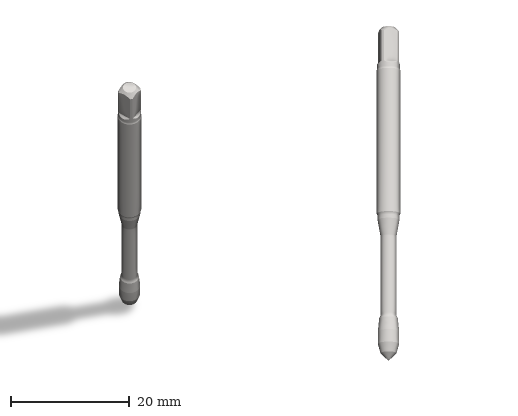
import cadquery as cq
import math

overall_length = 57.35

drive_width = 3.0
drive_length = 6.0
drive_top_diameter = 2.2
drive_chamfer_angle = 45.0
drive_runout_angle = 45.0

collar_diameter = 3.8
collar_bottom_depth = 7.0
shank_diameter = 4.0
shank_fillet_radius = 0.75
shank_bottom_z = 25.35
land_diameter = 3.7
land_bottom_z = 24.25

neck_diameter = 2.7
neck_taper_angle = 10.0
neck_taper_fillet_radius = 1.0
neck_end_diameter = 3.15
neck_end_fillet_radius = 1.2

head_diameter = 3.61
tip_diameter = neck_diameter
tip_height = tip_diameter / 2
lead_length = 1.6
head_land_length = 2.15

head_length = 6.0
head_top_z = tip_height + head_length


def tan_deg(angle):
    return math.tan(math.radians(angle))


def fillet_height(radius, rise):
    """Axial length of a fillet that leaves a cylinder tangentially and climbs by `rise`."""
    return math.sqrt(radius**2 - (radius - rise) ** 2)


def fillet_middle(start_radius, start_z, radius, height):
    """Middle point of a fillet starting tangent to a cylinder; `height` is signed along Z."""
    half_turn = math.asin(height / radius) / 2
    return (
        start_radius + radius * (1 - math.cos(half_turn)),
        start_z + radius * math.sin(half_turn),
    )


def turned(profile):
    """Solid of revolution about Z from a closed half profile."""
    return profile.close().revolve(360, (0, 0, 0), (0, 1, 0))


def turned_shank():
    """Drive blank, collar, shank, land and neck before the square is cut."""
    drive_top_r = drive_top_diameter / 2
    collar_r = collar_diameter / 2
    shank_r = shank_diameter / 2
    land_r = land_diameter / 2
    neck_r = neck_diameter / 2
    neck_end_r = neck_end_diameter / 2

    chamfer_bottom = overall_length - (collar_r - drive_top_r) * tan_deg(drive_chamfer_angle)
    collar_bottom = overall_length - collar_bottom_depth
    collar_fillet = -fillet_height(shank_fillet_radius, shank_r - collar_r)
    land_fillet = fillet_height(shank_fillet_radius, shank_r - land_r)
    land_top = shank_bottom_z - land_fillet

    taper_rad = math.radians(neck_taper_angle)
    taper_meets_neck = land_bottom_z - (land_r - neck_r) / math.tan(taper_rad)
    neck_top = taper_meets_neck - neck_taper_fillet_radius * math.tan(taper_rad / 2)
    taper_fillet = neck_taper_fillet_radius * math.sin(taper_rad)
    taper_bottom_r = neck_r + neck_taper_fillet_radius * (1 - math.cos(taper_rad))

    neck_end_fillet = -fillet_height(neck_end_fillet_radius, neck_end_r - neck_r)
    neck_bottom = head_top_z - neck_end_fillet

    return turned(
        cq.Workplane("XZ")
        .moveTo(0, overall_length)
        .lineTo(drive_top_r, overall_length)
        .lineTo(collar_r, chamfer_bottom)
        .lineTo(collar_r, collar_bottom)
        .threePointArc(
            fillet_middle(collar_r, collar_bottom, shank_fillet_radius, collar_fillet),
            (shank_r, collar_bottom + collar_fillet),
        )
        .lineTo(shank_r, shank_bottom_z)
        .threePointArc(
            fillet_middle(land_r, land_top, shank_fillet_radius, land_fillet),
            (land_r, land_top),
        )
        .lineTo(land_r, land_bottom_z)
        .lineTo(taper_bottom_r, neck_top + taper_fillet)
        .threePointArc(
            fillet_middle(neck_r, neck_top, neck_taper_fillet_radius, taper_fillet),
            (neck_r, neck_top),
        )
        .lineTo(neck_r, neck_bottom)
        .threePointArc(
            fillet_middle(neck_r, neck_bottom, neck_end_fillet_radius, neck_end_fillet),
            (neck_end_r, head_top_z),
        )
        .lineTo(0, head_top_z)
    )


def drive_flat_cutter():
    """Block that cuts the +X flat of the square, with a sloped run-out at its lower end."""
    flat_x = drive_width / 2
    outer_x = shank_diameter
    drive_bottom = overall_length - drive_length
    runout_drop = (outer_x - flat_x) * tan_deg(drive_runout_angle)
    return (
        cq.Workplane("XZ")
        .moveTo(flat_x, overall_length)
        .lineTo(flat_x, drive_bottom)
        .lineTo(outer_x, drive_bottom - runout_drop)
        .lineTo(outer_x, overall_length)
        .close()
        .extrude(shank_diameter, both=True)
    )


def make_shank():
    """Turned shank with the four flats of the square drive cut into its top end."""
    shank = turned_shank()
    flat_count = 4
    for flat in range(flat_count):
        angle = 360 / flat_count * flat
        shank = shank.cut(drive_flat_cutter().rotate((0, 0, 0), (0, 0, 1), angle))
    return shank


def make_head():
    """Back-tapered head with a cylindrical land, a lead taper and a pointed tip."""
    lead_top = tip_height + lead_length
    return turned(
        cq.Workplane("XZ")
        .moveTo(0, 0)
        .lineTo(tip_diameter / 2, tip_height)
        .lineTo(head_diameter / 2, lead_top)
        .lineTo(head_diameter / 2, lead_top + head_land_length)
        .lineTo(neck_end_diameter / 2, head_top_z)
        .lineTo(0, head_top_z)
    )


shank = make_shank()
head = make_head()

result = cq.Compound.makeCompound([shank.val(), head.val()])